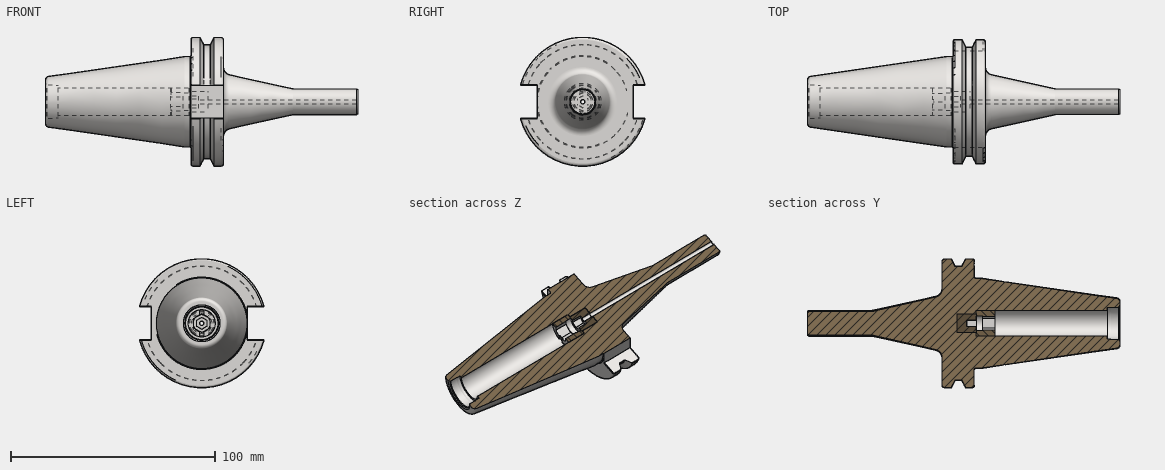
import cadquery as cq
import math

total_length = 153.2
gauge_line_x = 68.2
flange_front_x = 71.4
flange_rear_x = 87.4
shank_start_x = 121.5

gauge_diameter = 44.5
taper_ratio = 7 / 24
small_end_radius = (gauge_diameter - gauge_line_x * taper_ratio) / 2
small_end_fillet = 2.0

flange_diameter = 63.3
flange_front_round = 0.9
flange_rear_round = 1.4
flange_root_fillet = 0.5
groove_center_x = 79.2
groove_top_width = 6.9
groove_depth = 3.7
groove_wall_angle = 27.0
groove_floor_fillet = 0.3
key_slot_width = 16.1
key_slot_chamfer = 0.3
key_floor_back = 24.8
key_floor_front = 22.4
selection_margin = 0.2

neck_half_angle = 12.5
neck_fillet = 3.7
shank_diameter = 12.7
shank_chamfer_length = 0.9
shank_chamfer_height = 0.5

mouth_diameter = 18.1
lead_in_diameter = 16.7
counterbore_diameter = 16.2
lead_in_x = 0.5
counterbore_start_x = 0.9
counterbore_end_x = 4.5
thread_diameter = 16.0
thread_start_x = 5.0
thread_end_x = 6.3
lock_diameter = 13.3
stop_diameter = 10.0
coolant_diameter = 2.0

lock_start_x = 61.3
lock_length = 9.2
lock_hex_flats = 8.0
lock_hex_depth = 6.1
lock_hole_diameter = 8.5
lock_slot_width = 2.3
lock_slot_depth = 0.6
stop_start_x = lock_start_x + lock_length
stop_length = 9.2
stop_hex_flats = 5.0
stop_hex_depth = 4.6
stop_end_x = stop_start_x + stop_length


def revolve_about_x(outline):
    """Turn a closed half profile, drawn as (x, radius), around the X axis."""
    return outline.close().revolve(360, (0, 0, 0), (1, 0, 0))


def cylinder_x(diameter, start_x, length):
    return cq.Workplane("YZ", origin=(start_x, 0, 0)).circle(diameter / 2).extrude(length)


def hexagon_x(flats, start_x, length):
    """Hexagonal prism along X with corners pointing up and down."""
    corner_diameter = flats / math.cos(math.radians(30))
    prism = cq.Workplane("YZ").polygon(6, corner_diameter).extrude(length)
    return prism.rotate((0, 0, 0), (1, 0, 0), 90).translate((start_x, 0, 0))


def make_taper():
    """Solid taper with a rounded small end and a fillet where it meets the flange face."""
    gauge_radius = gauge_diameter / 2
    outline = (
        cq.Workplane("XY")
        .lineTo(0, small_end_radius)
        .lineTo(gauge_line_x, gauge_radius)
        .lineTo(flange_front_x - flange_root_fillet, gauge_radius)
        .radiusArc((flange_front_x, gauge_radius + flange_root_fillet), -flange_root_fillet)
        .lineTo(flange_front_x, 0)
    )
    return revolve_about_x(outline).faces("<X").edges().fillet(small_end_fillet)


def make_flange_disc():
    width = flange_rear_x - flange_front_x
    disc = cylinder_x(flange_diameter, flange_front_x, width)
    disc = disc.faces("<X").edges().fillet(flange_front_round)
    return disc.faces(">X").edges().fillet(flange_rear_round)


def cut_key_slots(body):
    """Cut the two drive slots, through the root fillet too, and break the outer edges of their walls."""
    slot_front_x = flange_front_x - flange_root_fillet
    width = flange_rear_x - slot_front_x
    depth = flange_diameter / 2
    wall_reach = key_slot_width / 2 + selection_margin
    for side, floor in ((1, key_floor_back), (-1, key_floor_front)):
        slot_center = (slot_front_x + width / 2, side * (floor + depth / 2), 0)
        slot = cq.Workplane("XY").box(width, depth, key_slot_width).translate(slot_center)
        body = body.cut(slot)
        wall_box = cq.selectors.BoxSelector(
            (slot_front_x - selection_margin, side * (floor + selection_margin), -wall_reach),
            (flange_rear_x + selection_margin, side * depth, wall_reach),
        )
        body = body.edges(wall_box).chamfer(key_slot_chamfer)
    return body


def make_groove():
    """Ring with a V profile and rounded floor corners, cut around the flange."""
    top_radius = flange_diameter / 2
    floor_radius = top_radius - groove_depth
    half_top = groove_top_width / 2
    half_floor = half_top - groove_depth * math.tan(math.radians(groove_wall_angle))
    outline = (
        cq.Workplane("XY")
        .moveTo(groove_center_x - half_top, top_radius)
        .lineTo(groove_center_x - half_floor, floor_radius)
        .lineTo(groove_center_x + half_floor, floor_radius)
        .lineTo(groove_center_x + half_top, top_radius)
    )
    ring = revolve_about_x(outline)
    floor_corners = ring.edges(cq.selectors.RadiusNthSelector(0))
    return floor_corners.fillet(groove_floor_fillet)


def make_nose():
    """Conical neck with a fillet against the flange, followed by the straight shank."""
    angle = math.radians(neck_half_angle)
    shank_radius = shank_diameter / 2
    fillet_center_x = flange_rear_x + neck_fillet
    neck_start_x = fillet_center_x - neck_fillet * math.sin(angle)
    neck_start_radius = shank_radius + (shank_start_x - neck_start_x) * math.tan(angle)
    fillet_center_radius = neck_start_radius + neck_fillet * math.cos(angle)
    middle_angle = (math.pi / 2 - angle) / 2
    fillet_middle = (
        fillet_center_x - neck_fillet * math.cos(middle_angle),
        fillet_center_radius - neck_fillet * math.sin(middle_angle),
    )
    outline = (
        cq.Workplane("XY")
        .moveTo(flange_rear_x, 0)
        .lineTo(flange_rear_x, fillet_center_radius)
        .threePointArc(fillet_middle, (neck_start_x, neck_start_radius))
        .lineTo(shank_start_x, shank_radius)
        .lineTo(total_length - shank_chamfer_length, shank_radius)
        .lineTo(total_length, shank_radius - shank_chamfer_height)
        .lineTo(total_length, 0)
    )
    return revolve_about_x(outline)


def make_bore():
    """Stepped cutter: mouth, counterbore, thread, seats of both screws and coolant hole."""
    outline = (
        cq.Workplane("XY")
        .lineTo(0, mouth_diameter / 2)
        .lineTo(lead_in_x, lead_in_diameter / 2)
        .lineTo(counterbore_start_x, counterbore_diameter / 2)
        .lineTo(counterbore_end_x, counterbore_diameter / 2)
        .lineTo(thread_start_x, thread_diameter / 2)
        .lineTo(thread_end_x, thread_diameter / 2)
        .lineTo(thread_end_x, lock_diameter / 2)
        .lineTo(stop_start_x, lock_diameter / 2)
        .lineTo(stop_start_x, stop_diameter / 2)
        .lineTo(stop_end_x, stop_diameter / 2)
        .lineTo(stop_end_x, coolant_diameter / 2)
        .lineTo(total_length, coolant_diameter / 2)
        .lineTo(total_length, 0)
    )
    return revolve_about_x(outline)


def make_holder():
    taper_and_disc = make_taper().union(make_flange_disc())
    flanged_taper = cut_key_slots(taper_and_disc).cut(make_groove())
    return flanged_taper.union(make_nose()).cut(make_bore())


def make_lock_screw():
    """Screw with a hexagon socket, a round hole behind it and a slot across its face."""
    screw = cylinder_x(lock_diameter, lock_start_x, lock_length)
    socket = hexagon_x(lock_hex_flats, lock_start_x, lock_hex_depth)
    hole_start_x = lock_start_x + lock_hex_depth
    hole = cylinder_x(lock_hole_diameter, hole_start_x, lock_length - lock_hex_depth)
    slot = cq.Workplane("XY").box(lock_slot_depth, lock_slot_width, lock_diameter)
    slot = slot.translate((lock_start_x + lock_slot_depth / 2, 0, 0))
    return screw.cut(socket).cut(hole).cut(slot)


def make_stop_screw():
    """Screw with a hexagon socket and a coolant hole right through it."""
    screw = cylinder_x(stop_diameter, stop_start_x, stop_length)
    socket = hexagon_x(stop_hex_flats, stop_start_x, stop_hex_depth)
    coolant_hole = cylinder_x(coolant_diameter, stop_start_x, stop_length)
    return screw.cut(socket).cut(coolant_hole)


holder = make_holder()
lock_screw = make_lock_screw()
stop_screw = make_stop_screw()

result = cq.Compound.makeCompound([holder.val(), lock_screw.val(), stop_screw.val()])